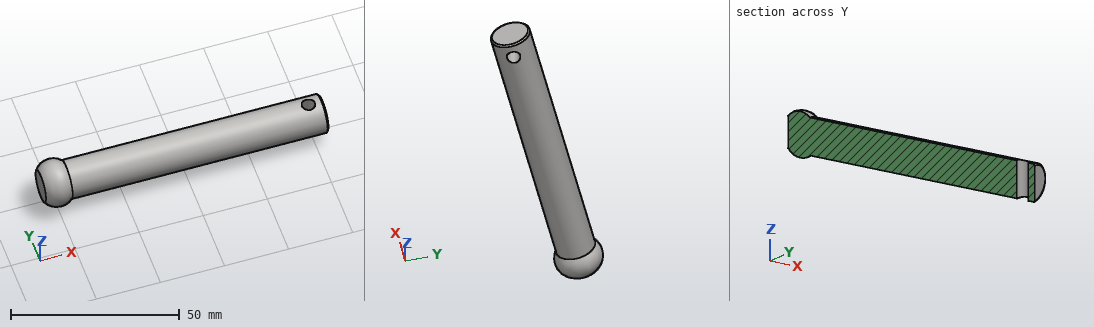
import cadquery as cq
import math

total_length = 88.0
shank_diameter = 12.0
head_length = 8.0
head_face_diameter = 10.0
head_diameter = 14.75
tip_chamfer = 0.5
hole_diameter = 4.0
hole_to_tip = 4.5

shank_radius = shank_diameter / 2
head_face_radius = head_face_diameter / 2
head_radius = head_diameter / 2


def head_crown_x():
    """X of the head's widest circle, so that one arc joins face, crown and shank.

    From its crown, an arc drops by d over a distance s, where 2 * radius = s**2 / d + d.
    Equating this on both sides of the crown gives a quadratic in the crown's X.
    """
    drop_to_face = head_radius - head_face_radius
    drop_to_shank = head_radius - shank_radius
    square_term = 1 / drop_to_face - 1 / drop_to_shank
    linear_term = 2 * head_length / drop_to_shank
    constant_term = drop_to_face - drop_to_shank - head_length**2 / drop_to_shank
    discriminant = linear_term**2 - 4 * square_term * constant_term
    return (math.sqrt(discriminant) - linear_term) / (2 * square_term)


def make_pin():
    """Headed pin, revolved about the X axis, with a chamfered tip."""
    profile = (
        cq.Workplane("XY")
        .lineTo(0, head_face_radius)
        .threePointArc((head_crown_x(), head_radius), (head_length, shank_radius))
        .lineTo(total_length - tip_chamfer, shank_radius)
        .lineTo(total_length, shank_radius - tip_chamfer)
        .lineTo(total_length, 0)
        .close()
    )
    return profile.revolve(360, (0, 0, 0), (1, 0, 0))


def make_cross_hole():
    """Cylinder along Z that pierces the shank near its tip."""
    return (
        cq.Workplane("XY")
        .center(total_length - hole_to_tip, 0)
        .circle(hole_diameter / 2)
        .extrude(shank_diameter, both=True)
    )


result = make_pin().cut(make_cross_hole())